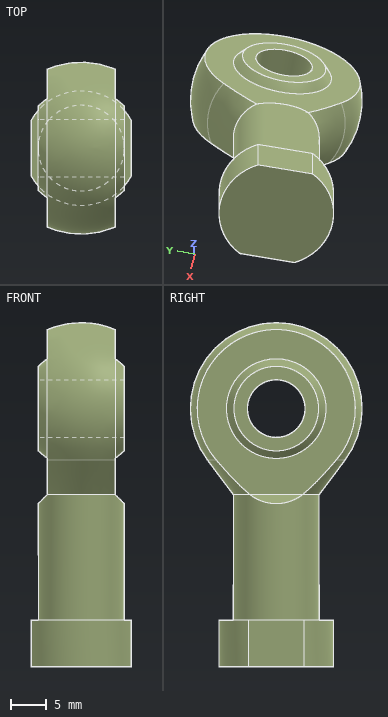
import cadquery as cq
import math

eye_height = 36.0
head_radius = 12.0
head_thickness = 9.5
shank_diameter = 12.0
shank_top = 24.0
ball_width = 12.0
ball_face_diameter = 11.8
bore_diameter = 8.0
collar_diameter = 16.0
collar_height = 6.5
collar_across_flats = 14.0
cut_clearance = 1.0

shank_radius = shank_diameter / 2
ball_radius = math.hypot(ball_width / 2, ball_face_diameter / 2)

rim_drop = eye_height - shank_top
rim_distance = math.hypot(shank_radius, rim_drop)
rim_angle = math.atan2(-rim_drop, shank_radius)
tangent_angle = rim_angle + math.acos(head_radius / rim_distance)
tangent_radius = head_radius * math.cos(tangent_angle)
tangent_height = eye_height + head_radius * math.sin(tangent_angle)


def make_body():
    """Shank, neck cone and spherical head turned about Z."""
    return (
        cq.Workplane("XZ")
        .lineTo(shank_radius, 0)
        .lineTo(shank_radius, shank_top)
        .lineTo(tangent_radius, tangent_height)
        .threePointArc((head_radius, eye_height), (0, eye_height + head_radius))
        .close()
        .revolve(360, (0, 0), (0, 1))
    )


def make_side_cutter():
    """Block that flattens the +X side of the head and slopes out at 45 degrees to the shank."""
    flat_x = head_thickness / 2
    outer_x = head_radius + cut_clearance
    slope_bottom = shank_top - (outer_x - flat_x)
    cut_top = eye_height + outer_x
    return (
        cq.Workplane("XZ")
        .moveTo(flat_x, shank_top)
        .lineTo(outer_x, slope_bottom)
        .lineTo(outer_x, cut_top)
        .lineTo(flat_x, cut_top)
        .close()
        .extrude(outer_x, both=True)
    )


def make_collar():
    """Round collar with two wrench flats facing +X and -X."""
    flats = cq.Workplane("XY").box(
        collar_across_flats, collar_diameter, collar_height, centered=(True, True, False)
    )
    return cq.Workplane("XY").circle(collar_diameter / 2).extrude(collar_height).intersect(flats)


def make_ball():
    """Bearing ball turned about the X axis through the eye and cut off by two end faces."""
    half_width = ball_width / 2
    face_radius = ball_face_diameter / 2
    return (
        cq.Workplane("XZ", origin=(0, 0, eye_height))
        .moveTo(-half_width, 0)
        .lineTo(-half_width, face_radius)
        .threePointArc((0, ball_radius), (half_width, face_radius))
        .lineTo(half_width, 0)
        .close()
        .revolve(360, (0, 0), (1, 0))
    )


def make_bore():
    """Cylinder along X that passes through the whole ball."""
    return (
        cq.Workplane("YZ", origin=(0, 0, eye_height))
        .circle(bore_diameter / 2)
        .extrude(ball_width, both=True)
    )


side_cutter = make_side_cutter()
rod_end = make_body().cut(side_cutter).cut(side_cutter.mirror("YZ"))
rod_end = rod_end.union(make_collar()).union(make_ball())
result = rod_end.cut(make_bore())